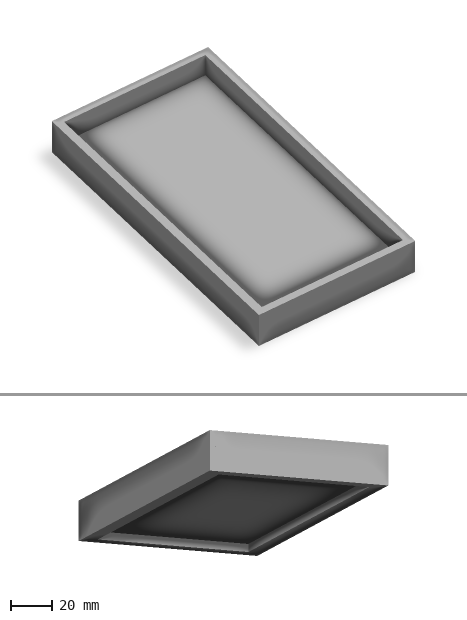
import cadquery as cq

length = 173.3
width = 93.0
height = 20.1
end_thickness = 4.0
side_thickness = 4.5
floor_thickness = 3.0
rail_width = 2.8

finger_count = 5
finger_height = height / finger_count

inner_length = length - 2 * end_thickness
inner_width = width - 2 * side_thickness
end_centre_x = (length - end_thickness) / 2
side_centre_y = (width - side_thickness) / 2
rail_centre_y = (inner_width - rail_width) / 2


def block(size_x, size_y, size_z, centre_x=0, centre_y=0, bottom=0):
    """Box placed by the centre of its footprint and the height of its underside."""
    return (
        cq.Workplane("XY")
        .box(size_x, size_y, size_z, centered=(True, True, False))
        .translate((centre_x, centre_y, bottom))
    )


def make_side_wall(side):
    """Full-length wall, notched at both ends for the fingers of the end walls."""
    centre_y = side * side_centre_y
    wall = block(length, side_thickness, height, 0, centre_y)
    for end in (-1, 1):
        for band in range(1, finger_count, 2):
            notch = block(
                end_thickness, side_thickness, finger_height,
                end * end_centre_x, centre_y, band * finger_height,
            )
            wall = wall.cut(notch)
    return wall


def make_support_frame():
    """Frame under the floor; its two long rails run on through the end walls."""
    frame = block(inner_length, inner_width, finger_height)
    frame = frame.cut(
        block(inner_length - 2 * rail_width, inner_width - 2 * rail_width, finger_height)
    )
    for side in (-1, 1):
        frame = frame.union(block(length, rail_width, finger_height, 0, side * rail_centre_y))
    return frame


def make_end_wall(end, neighbours):
    """Full-width wall, cut to leave fingers between the side walls and clear the rails."""
    wall = block(end_thickness, width, height, end * end_centre_x)
    for neighbour in neighbours:
        wall = wall.cut(neighbour)
    return wall


side_walls = [make_side_wall(side) for side in (-1, 1)]
support_frame = make_support_frame()
end_walls = [make_end_wall(end, [*side_walls, support_frame]) for end in (-1, 1)]

floor = block(inner_length, inner_width, floor_thickness, bottom=finger_height)

result = cq.Compound.makeCompound(
    [body.solids().val() for body in [*side_walls, *end_walls, support_frame, floor]]
)